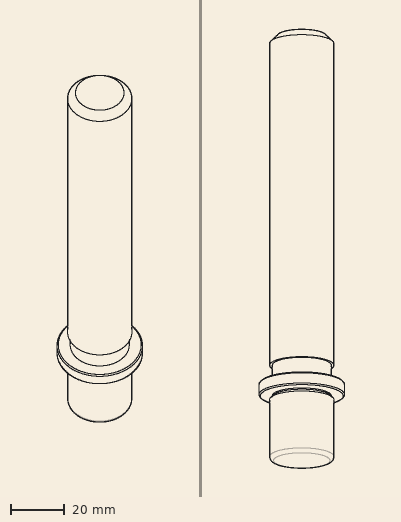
import cadquery as cq
import math

total_height = 165.0
shank_radius = 12.0
neck_radius = 11.0
collar_radius = 16.0
collar_bottom = 25.0
collar_thickness = 5.0
neck_height = 7.0
tip_height = 3.0
tip_radius = 9.0
foot_round = 1.5
collar_chamfer = 0.5
relief_height = 0.5

collar_top = collar_bottom + collar_thickness
neck_top = collar_top + neck_height
relief_bottom = collar_bottom - relief_height
relief_chamfer = shank_radius - neck_radius
foot_round_inset = foot_round * (1 - math.sqrt(0.5))

profile = (
    cq.Workplane("XZ")
    .moveTo(0, 0)
    .lineTo(shank_radius - foot_round, 0)
    .threePointArc(
        (shank_radius - foot_round_inset, foot_round_inset),
        (shank_radius, foot_round),
    )
    .lineTo(shank_radius, relief_bottom - relief_chamfer)
    .lineTo(neck_radius, relief_bottom)
    .lineTo(neck_radius, collar_bottom)
    .lineTo(collar_radius - collar_chamfer, collar_bottom)
    .lineTo(collar_radius, collar_bottom + collar_chamfer)
    .lineTo(collar_radius, collar_top - collar_chamfer)
    .lineTo(collar_radius - collar_chamfer, collar_top)
    .lineTo(neck_radius, collar_top)
    .lineTo(neck_radius, neck_top)
    .lineTo(shank_radius, neck_top)
    .lineTo(shank_radius, total_height - tip_height)
    .lineTo(tip_radius, total_height)
    .lineTo(0, total_height)
    .close()
)

result = profile.revolve(360, (0, 0, 0), (0, 1, 0))